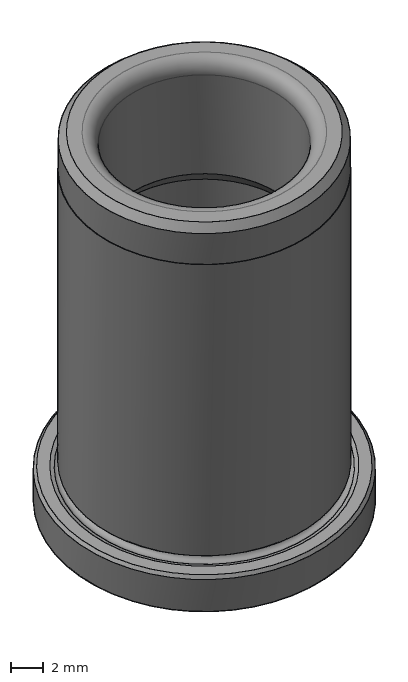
import cadquery as cq
import math

total_height = 30.0
head_radius = 10.5
head_height = 3.0
head_chamfer = 0.2

shank_radius = 9.0
pilot_radius = 8.97
pilot_length = 3.0
pilot_chamfer = 0.5

neck_radius = 8.52
shoulder_height = 0.42
groove_outer_radius = 9.48
groove_arc_radius = 9.2
groove_edge_drop = 0.1
groove_bottom_radius = 8.8
groove_depth = 0.2

bore_radius = 6.5
mouth_fillet = 1.0
relief_radius = 7.02
relief_top = 21.0
relief_cone_angle = 30.0

shoulder_z = head_height + shoulder_height
pilot_z = total_height - pilot_length
mouth_z = total_height - mouth_fillet
fillet_sag = mouth_fillet * (1 - math.sqrt(0.5))
relief_cone_height = (relief_radius - bore_radius) / math.tan(math.radians(relief_cone_angle))

section = (
    cq.Workplane("XZ")
    .moveTo(relief_radius, 0)
    .lineTo(head_radius - head_chamfer, 0)
    .lineTo(head_radius, head_chamfer)
    .lineTo(head_radius, head_height - head_chamfer)
    .lineTo(head_radius - head_chamfer, head_height)
    .lineTo(groove_outer_radius, head_height)
    .lineTo(groove_arc_radius, head_height - groove_edge_drop)
    .threePointArc(
        (groove_bottom_radius, head_height - groove_depth),
        (neck_radius, head_height),
    )
    .lineTo(shank_radius, shoulder_z)
    .lineTo(shank_radius, pilot_z)
    .lineTo(pilot_radius, pilot_z)
    .lineTo(pilot_radius, total_height - pilot_chamfer)
    .lineTo(pilot_radius - pilot_chamfer, total_height)
    .lineTo(bore_radius + mouth_fillet, total_height)
    .threePointArc(
        (bore_radius + fillet_sag, total_height - fillet_sag),
        (bore_radius, mouth_z),
    )
    .lineTo(bore_radius, relief_top)
    .lineTo(relief_radius, relief_top - relief_cone_height)
    .close()
)

result = section.revolve(360, (0, 0, 0), (0, 1, 0))